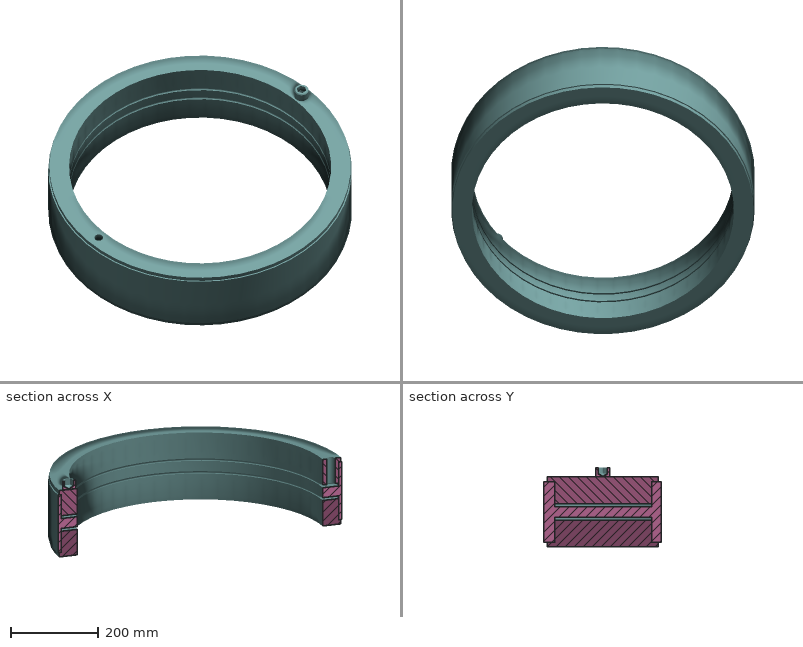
import cadquery as cq
import math

outer_diameter = 695.0
bore_diameter = 600.0
stack_height = 161.0
flange_diameter = 689.5
flange_thickness = 10.5
sleeve_wall = 9.0
web_thickness = 25.0
gap_height = 5.5

port_circle_radius = 320.0
port_diameter = 19.5
nipple_diameter = 33.0
nipple_height = 21.5
nipple_chamfer = 2.0
socket_across_flats = 19.5
socket_depth = 14.0
hexagon_sides = 6
drill_point_angle = 118.0

outer_radius = outer_diameter / 2
bore_radius = bore_diameter / 2
flange_radius = flange_diameter / 2
sleeve_inner_radius = outer_radius - sleeve_wall
mid_height = stack_height / 2
web_bottom = mid_height - web_thickness / 2
web_top = mid_height + web_thickness / 2
sleeve_top = stack_height - flange_thickness
end_ring_bottom = web_top + gap_height
end_ring_height = stack_height - end_ring_bottom
socket_radius = socket_across_flats / 2 / math.cos(math.pi / hexagon_sides)
cone_depth = socket_radius / math.tan(math.radians(drill_point_angle / 2))


def revolve_profile(points):
    """Revolve a closed (radius, height) outline around the Z axis."""
    return cq.Workplane("XZ").polyline(points).close().revolve(360, (0, 0, 0), (0, 1, 0))


def make_body():
    """Outer sleeve with a central web reaching inward to the bore."""
    return revolve_profile([
        (outer_radius, flange_thickness),
        (outer_radius, sleeve_top),
        (sleeve_inner_radius, sleeve_top),
        (sleeve_inner_radius, web_top),
        (bore_radius, web_top),
        (bore_radius, web_bottom),
        (sleeve_inner_radius, web_bottom),
        (sleeve_inner_radius, flange_thickness),
    ])


def make_end_ring():
    """Upper end ring: fits inside the sleeve, its flange rests on the sleeve end."""
    return revolve_profile([
        (bore_radius, end_ring_bottom),
        (sleeve_inner_radius, end_ring_bottom),
        (sleeve_inner_radius, sleeve_top),
        (flange_radius, sleeve_top),
        (flange_radius, stack_height),
        (bore_radius, stack_height),
    ])


def cut_port(end_ring):
    """Drill the open port from the top face through to the slot above the web."""
    port = (
        cq.Workplane("XY", origin=(0, -port_circle_radius, end_ring_bottom))
        .circle(port_diameter / 2)
        .extrude(end_ring_height)
    )
    return end_ring.cut(port)


def make_socket():
    """Hexagonal recess with two corners along Y, ending in a drill-point cone."""
    cone_rim = nipple_height - socket_depth
    pointed_bore = revolve_profile([
        (0, nipple_height),
        (socket_radius, nipple_height),
        (socket_radius, cone_rim),
        (0, cone_rim - cone_depth),
    ])
    hexagon = (
        cq.Workplane("XY")
        .transformed(rotate=(0, 0, 90))
        .polygon(hexagon_sides, 2 * socket_radius)
        .extrude(nipple_height)
    )
    return pointed_bore.intersect(hexagon)


def make_nipple():
    """Round nipple with a chamfered rim and a hexagonal socket, standing on the top ring."""
    nipple = (
        cq.Workplane("XY")
        .circle(nipple_diameter / 2)
        .extrude(nipple_height)
        .faces(">Z")
        .chamfer(nipple_chamfer)
    )
    return nipple.cut(make_socket()).translate((0, port_circle_radius, stack_height))


body = make_body()
plain_end_ring = make_end_ring()
top_ring = cut_port(plain_end_ring)
bottom_ring = plain_end_ring.mirror("XY", (0, 0, mid_height))
nipple = make_nipple()

result = cq.Compound.makeCompound([
    body.val(),
    top_ring.val(),
    bottom_ring.val(),
    nipple.val(),
])